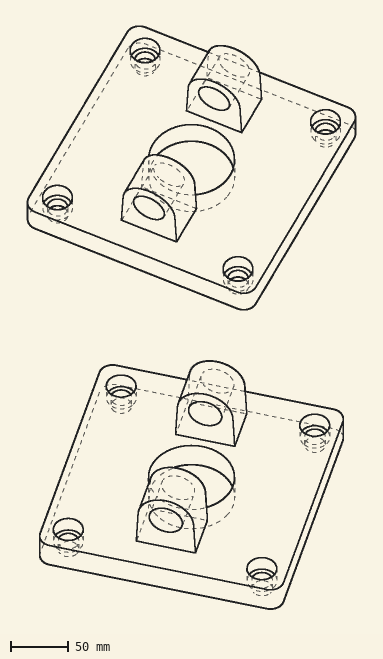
import cadquery as cq
import math

plate_side = 220.0
plate_thickness = 25.0
corner_radius = 11.9
bore_diameter = 75.0

hole_spacing = 175.0
hole_diameter = 18.0
counterbore_diameter = 26.0
counterbore_depth = 15.0

overall_height = 85.0
lug_radius = 25.0
lug_base_width = 53.5
lug_inner_y = 45.0
lug_outer_y = 85.0
pin_diameter = 30.0
pin_height = overall_height - lug_radius


def make_plate():
    plate = (
        cq.Workplane("XY")
        .rect(plate_side, plate_side)
        .extrude(plate_thickness)
        .edges("|Z")
        .fillet(corner_radius)
    )
    plate = plate.faces(">Z").workplane().hole(bore_diameter)
    return (
        plate.faces(">Z")
        .workplane()
        .rect(hole_spacing, hole_spacing, forConstruction=True)
        .vertices()
        .cboreHole(hole_diameter, counterbore_diameter, counterbore_depth)
    )


def make_lug(start_y):
    """Lug starting at start_y, with sloped sides tangent to its round top."""
    half_base = lug_base_width / 2
    pin_rise = pin_height - plate_thickness

    corner_distance = math.hypot(half_base, pin_rise)
    corner_angle = math.atan2(-pin_rise, half_base)
    tangent_angle = corner_angle + math.acos(lug_radius / corner_distance)
    tangent_x = lug_radius * math.cos(tangent_angle)
    tangent_z = pin_height + lug_radius * math.sin(tangent_angle)

    lug_plane = cq.Workplane("XZ").workplane(offset=-start_y)
    lug_length = lug_outer_y - lug_inner_y
    lug = (
        lug_plane.moveTo(-half_base, plate_thickness)
        .lineTo(half_base, plate_thickness)
        .lineTo(tangent_x, tangent_z)
        .threePointArc((0, overall_height), (-tangent_x, tangent_z))
        .close()
        .extrude(-lug_length)
    )
    pin_hole = lug_plane.center(0, pin_height).circle(pin_diameter / 2).extrude(-lug_length)
    return lug.cut(pin_hole)


result = make_plate()
for start_y in (lug_inner_y, -lug_outer_y):
    result = result.union(make_lug(start_y))